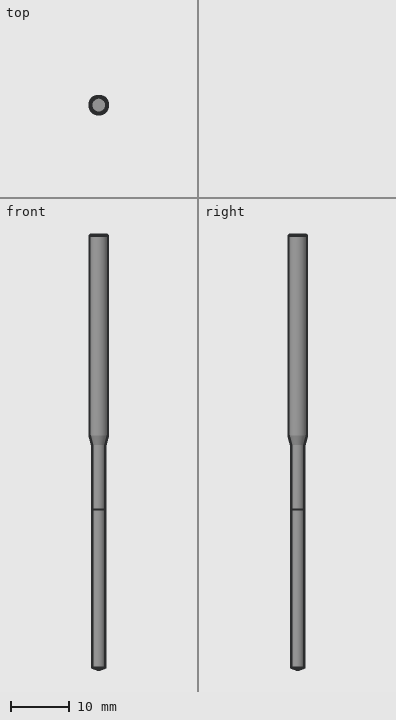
import cadquery as cq
import math

overall_length = 74.41
shank_diameter = 3.175
drill_diameter = 2.3
point_angle = 140.0

shank_length = 34.37
shank_chamfer_height = 0.3
shank_chamfer_width = 0.3
taper_half_angle = 15.0
cutting_length = 27.45

shank_radius = shank_diameter / 2
drill_radius = drill_diameter / 2
point_height = drill_radius / math.tan(math.radians(point_angle / 2))
shank_bottom = overall_length - shank_length
taper_length = (shank_radius - drill_radius) / math.tan(math.radians(taper_half_angle))
neck_top = shank_bottom - taper_length

axial_plane = cq.Plane(origin=(0, 0, 0), xDir=(0, -1, 0), normal=(-1, 0, 0))


def make_cutting_part():
    """Lower body: the conical point and the cylinder that encloses the flutes."""
    profile = (
        cq.Workplane(axial_plane)
        .moveTo(0, 0)
        .lineTo(drill_radius, point_height)
        .lineTo(drill_radius, cutting_length)
        .lineTo(0, cutting_length)
        .close()
    )
    return profile.revolve(360, (0, 0, 0), (0, 1, 0))


def make_shank():
    """Upper body: plain neck, taper and chamfered clamping shank."""
    profile = (
        cq.Workplane(axial_plane)
        .moveTo(0, cutting_length)
        .lineTo(drill_radius, cutting_length)
        .lineTo(drill_radius, neck_top)
        .lineTo(shank_radius, shank_bottom)
        .lineTo(shank_radius, overall_length - shank_chamfer_height)
        .lineTo(shank_radius - shank_chamfer_width, overall_length)
        .lineTo(0, overall_length)
        .close()
    )
    return profile.revolve(360, (0, 0, 0), (0, 1, 0))


cutting_part = make_cutting_part()
shank = make_shank()

result = cq.Compound.makeCompound([cutting_part.val(), shank.val()])